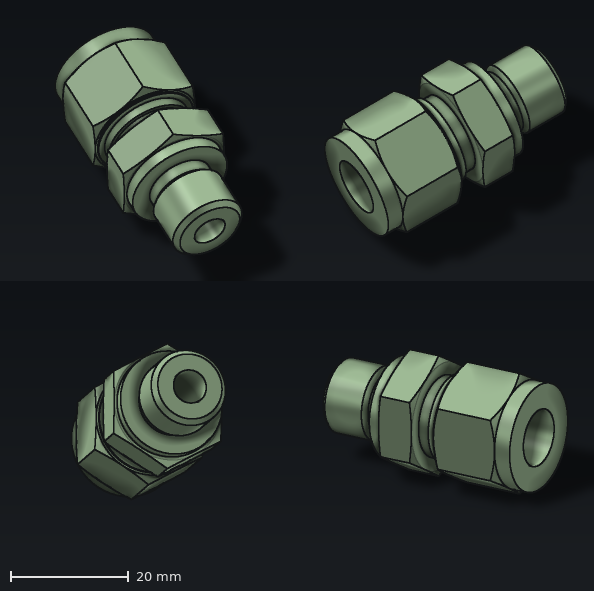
import cadquery as cq
import math

LENGTH = 39.4

ACROSS_FLATS = 19.0
ACROSS_CORNERS = ACROSS_FLATS / math.cos(math.radians(30))
NUT_BEVEL_ANGLE = 30.0
BODY_BEVEL_ANGLE = 15.0

NUT_HEX_START = 3.0
NUT_HEX_END = 15.13
NUT_END = 15.5
SHOULDER_END = 17.15
BODY_HEX_START = 19.5
BODY_HEX_END = 26.05
WASHER_END = 28.17
UNDERCUT_END = 30.4

NUT_LIP_DIAMETER = 18.1
SHOULDER_DIAMETER = 15.8
NECK_DIAMETER = 14.4
WASHER_DIAMETER = 18.0
UNDERCUT_DIAMETER = 11.5
THREAD_DIAMETER = 13.15
END_CHAMFER = 0.9

TUBE_SOCKET_DIAMETER = 10.0
TUBE_SOCKET_DEPTH = SHOULDER_END
BORE_DIAMETER = 5.8


def cylinder(start, end, diameter):
    """Round section along X between two stations."""
    return cq.Workplane("YZ", origin=(start, 0, 0)).circle(diameter / 2).extrude(end - start)


def revolve_about_x(points):
    """Turned section from (station, radius) points, turned about the X axis."""
    return cq.Workplane("XZ").polyline(points).close().revolve(360, (0, 0), (1, 0))


def bevelled_hexagon(start, end, bevel_angle):
    """Hexagonal section whose corners are turned off by a cone at both ends."""
    prism = (
        cq.Workplane("YZ", origin=(start, 0, 0))
        .transformed(rotate=(0, 0, 90))
        .polygon(6, ACROSS_CORNERS)
        .extrude(end - start)
    )
    flat_radius = ACROSS_FLATS / 2
    corner_radius = ACROSS_CORNERS / 2
    bevel = (corner_radius - flat_radius) * math.tan(math.radians(bevel_angle))
    envelope = revolve_about_x([
        (start, 0),
        (start, flat_radius),
        (start + bevel, corner_radius),
        (end - bevel, corner_radius),
        (end, flat_radius),
        (end, 0),
    ])
    return prism.intersect(envelope)


def threaded_stud():
    """Plain thread envelope with a 45 degree run-out and end chamfer."""
    undercut_radius = UNDERCUT_DIAMETER / 2
    thread_radius = THREAD_DIAMETER / 2
    runout = thread_radius - undercut_radius
    return revolve_about_x([
        (WASHER_END, 0),
        (WASHER_END, undercut_radius),
        (UNDERCUT_END, undercut_radius),
        (UNDERCUT_END + runout, thread_radius),
        (LENGTH - END_CHAMFER, thread_radius),
        (LENGTH, thread_radius - END_CHAMFER),
        (LENGTH, 0),
    ])


nut = (
    cylinder(0, NUT_HEX_START, ACROSS_FLATS)
    .union(bevelled_hexagon(NUT_HEX_START, NUT_HEX_END, NUT_BEVEL_ANGLE))
    .union(cylinder(NUT_HEX_END, NUT_END, NUT_LIP_DIAMETER))
)

body = (
    cylinder(NUT_END, SHOULDER_END, SHOULDER_DIAMETER)
    .union(cylinder(SHOULDER_END, BODY_HEX_START, NECK_DIAMETER))
    .union(bevelled_hexagon(BODY_HEX_START, BODY_HEX_END, BODY_BEVEL_ANGLE))
    .union(cylinder(BODY_HEX_END, WASHER_END, WASHER_DIAMETER))
    .union(threaded_stud())
)

result = (
    nut.union(body)
    .cut(cylinder(0, TUBE_SOCKET_DEPTH, TUBE_SOCKET_DIAMETER))
    .cut(cylinder(0, LENGTH, BORE_DIAMETER))
)